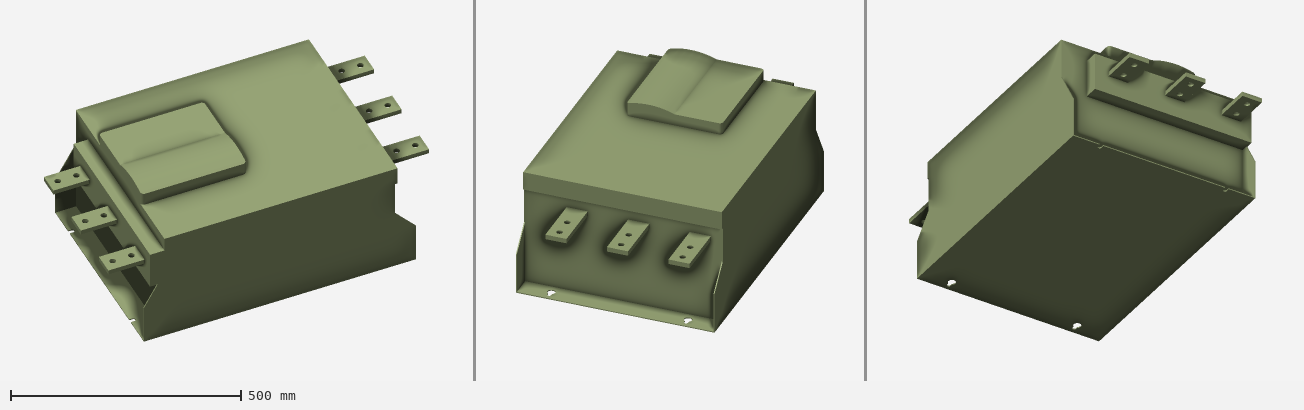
import cadquery as cq

width = 464.0
body_depth = 551.0
body_height = 280.0
base_depth = 649.0
sheet = 2.0

wing_height = 97.0
front_taper_top = 182.0
rear_taper_top = 152.0

lip_overhang = 5.5
lip_height = 44.0

total_height = 319.0
cover_width = 223.5
cover_depth = 250.5
cover_flat_height = 308.0
cover_corner_radius = 8.0
arch_start_x = -1.0
arch_center_x = 60.0

block_width = 399.0
block_depth = 34.0
block_bottom = 154.0
block_top = 246.5

bar_width = 49.5
bar_thickness = 11.0
bar_bottom = 199.5
bar_pitch = 144.0
bar_row_offset = 36.0
overall_length = 798.0
rear_bar_end = 401.0
front_bar_end = rear_bar_end - overall_length
bolt_hole_diameter = 14.0
bolt_hole_end_distance = 21.5
bolt_hole_pitch = 45.0

mount_x = 159.5
keyhole_y = 297.0
keyhole_diameter = 18.0
keyhole_neck_width = 9.5
keyhole_tip_y = 314.5
slot_width = 9.5
slot_length = 13.0

body_rear = body_depth / 2
body_front = -body_rear
base_rear = base_depth / 2
base_front = -base_rear


def box(x_range, y_range, z_range):
    """Axis-aligned box given by its lower and upper limits along each axis."""
    (x0, x1), (y0, y1), (z0, z1) = x_range, y_range, z_range
    return cq.Workplane("XY").box(x1 - x0, y1 - y0, z1 - z0, centered=False).translate((x0, y0, z0))


def make_side_sheet(x_start):
    """Side sheet with a tapered wing at each end; x_start is its left face."""
    outline = [
        (base_front, 0),
        (base_rear, 0),
        (base_rear, wing_height),
        (body_rear, rear_taper_top),
        (body_rear, body_height),
        (body_front, body_height),
        (body_front, front_taper_top),
        (base_front, wing_height),
    ]
    return cq.Workplane("YZ").polyline(outline).close().extrude(sheet).translate((x_start, 0, 0))


def make_housing():
    x_range = (-width / 2, width / 2)
    housing = box(x_range, (body_front, body_rear), (0, body_height))
    floor = box(x_range, (base_front, base_rear), (0, sheet))
    lip = box(x_range, (0, body_rear + lip_overhang), (body_height - lip_height, body_height))
    housing = housing.union(floor).union(lip)
    for x_start in (-width / 2, width / 2 - sheet):
        housing = housing.union(make_side_sheet(x_start))
    return housing


def make_cover():
    """Cover with an arch starting near the centre line and trimmed at the right edge."""
    half_width = cover_width / 2
    arch_end_x = 2 * arch_center_x - arch_start_x
    profile = (
        cq.Workplane("XZ", origin=(0, body_front + cover_depth, 0))
        .moveTo(-half_width, body_height)
        .lineTo(-half_width, cover_flat_height)
        .lineTo(arch_start_x, cover_flat_height)
        .threePointArc((arch_center_x, total_height), (arch_end_x, cover_flat_height))
        .lineTo(arch_end_x, body_height)
        .close()
        .extrude(cover_depth)
    )
    footprint = (
        cq.Workplane("XY", origin=(0, body_front + cover_depth / 2, body_height))
        .rect(cover_width, cover_depth)
        .extrude(total_height - body_height)
        .edges("|Z")
        .fillet(cover_corner_radius)
    )
    return profile.intersect(footprint)


def make_terminal_block():
    return box(
        (width / 2 - block_width, width / 2),
        (body_front - block_depth, body_front),
        (block_bottom, block_top),
    )


def make_busbars(row_center_x, end_y, root_y):
    """Row of three drilled bars running along Y from root_y to the free end at end_y."""
    inward = 1 if root_y > end_y else -1
    first_hole_y = end_y + inward * bolt_hole_end_distance
    second_hole_y = first_hole_y + inward * bolt_hole_pitch
    bar_centers = [row_center_x + step * bar_pitch for step in (-1, 0, 1)]
    hole_centers = [(x, y) for x in bar_centers for y in (first_hole_y, second_hole_y)]
    plane = cq.Workplane("XY", origin=(0, 0, bar_bottom))
    bars = (
        plane.pushPoints([(x, (end_y + root_y) / 2) for x in bar_centers])
        .rect(bar_width, abs(end_y - root_y))
        .extrude(bar_thickness)
    )
    holes = plane.pushPoints(hole_centers).circle(bolt_hole_diameter / 2).extrude(bar_thickness)
    return bars.cut(holes)


def make_keyhole(x):
    """Cutter for a round hole with a narrow round-ended neck toward the rear."""
    neck_end_y = keyhole_tip_y - keyhole_neck_width / 2
    floor_plane = cq.Workplane("XY")
    head = floor_plane.center(x, keyhole_y).circle(keyhole_diameter / 2).extrude(sheet)
    neck_end = floor_plane.center(x, neck_end_y).circle(keyhole_neck_width / 2).extrude(sheet)
    neck_sides = (x - keyhole_neck_width / 2, x + keyhole_neck_width / 2)
    neck = box(neck_sides, (keyhole_y, neck_end_y), (0, sheet))
    return head.union(neck).union(neck_end)


def make_edge_slot(x):
    """Cutter for a round-ended slot open at the front edge of the floor."""
    round_center_y = base_front + slot_length - slot_width / 2
    straight = box((x - slot_width / 2, x + slot_width / 2), (base_front, round_center_y), (0, sheet))
    round_end = cq.Workplane("XY").center(x, round_center_y).circle(slot_width / 2).extrude(sheet)
    return straight.union(round_end)


result = make_housing().union(make_cover()).union(make_terminal_block())
result = result.union(make_busbars(-bar_row_offset, rear_bar_end, body_rear))
result = result.union(make_busbars(bar_row_offset, front_bar_end, body_front - block_depth))
for mount_side in (-1, 1):
    result = result.cut(make_keyhole(mount_side * mount_x))
    result = result.cut(make_edge_slot(mount_side * mount_x))